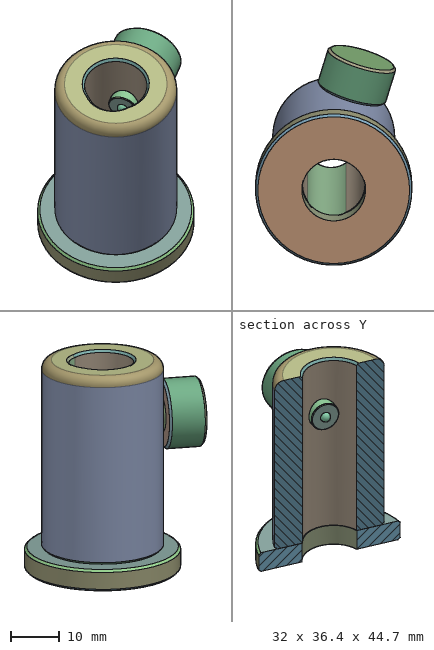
import cadquery as cq
import math

total_height = 44.7
base_height = 4.6
base_diameter = 32.0
base_bore_diameter = 13.0
edge_chamfer = 0.5

housing_diameter = 25.0
housing_radius = housing_diameter / 2
housing_height = total_height - base_height
housing_top_fillet = 2.0
bore_diameter = 12.75
relief_diameter = 10.3
relief_offset = 1.8

total_depth = 36.4
clamp_height = 32.2
knob_diameter = 14.5
knob_inner_y = housing_radius
knob_outer_y = total_depth - base_diameter / 2
collar_radius = 3.2
collar_length = 2.7
collar_inner_y = knob_inner_y - collar_length
collar_flare = 0.35
screw_radius = 3.1
screw_tip_y = 4.25
screw_tip_chamfer = 0.2
ball_diameter = 2.15


def make_base():
    disc = cq.Workplane("XY").circle(base_diameter / 2).extrude(base_height)
    disc = disc.edges().chamfer(edge_chamfer)
    return disc.faces(">Z").workplane().hole(base_bore_diameter)


def round_bore(diameter, center_y):
    """Bore through the housing with a chamfered, widening mouth at the top."""
    bore = cq.Workplane("XY").workplane(offset=base_height).center(0, center_y)
    bore = bore.circle(diameter / 2).extrude(housing_height)
    mouth = cq.Workplane("XY").workplane(offset=total_height).center(0, center_y)
    mouth = mouth.circle(diameter / 2 + edge_chamfer).extrude(-edge_chamfer, taper=45)
    return bore.union(mouth)


def make_housing(screw):
    """Barrel with a main bore, an off-axis relief bore and a seat that matches the screw."""
    barrel = cq.Workplane("XY").workplane(offset=base_height)
    barrel = barrel.circle(housing_radius).extrude(housing_height)
    barrel = barrel.edges(">Z").fillet(housing_top_fillet)
    barrel = barrel.edges("<Z").chamfer(edge_chamfer)
    barrel = barrel.cut(round_bore(bore_diameter, 0))
    barrel = barrel.cut(round_bore(relief_diameter, -relief_offset))
    return barrel.cut(screw)


def make_knob():
    knob = cq.Workplane("XZ", origin=(0, knob_outer_y, clamp_height))
    knob = knob.circle(knob_diameter / 2).extrude(knob_outer_y - knob_inner_y)
    return knob.edges().chamfer(edge_chamfer)


def make_ball():
    return cq.Workplane("XY", origin=(0, screw_tip_y, clamp_height)).sphere(ball_diameter / 2)


def make_screw(ball):
    """Stepped screw turned about the clamp axis, with a socket for the ball in its tip."""
    flare_start_y = knob_inner_y - collar_flare
    flare_radius = collar_radius + collar_flare
    flare_mid = (
        flare_radius - collar_flare * math.cos(math.pi / 4),
        flare_start_y + collar_flare * math.sin(math.pi / 4),
    )
    profile = (
        cq.Workplane("XY", origin=(0, 0, clamp_height))
        .moveTo(0, screw_tip_y)
        .lineTo(screw_radius - screw_tip_chamfer, screw_tip_y)
        .lineTo(screw_radius, screw_tip_y + screw_tip_chamfer)
        .lineTo(screw_radius, collar_inner_y)
        .lineTo(collar_radius, collar_inner_y)
        .lineTo(collar_radius, flare_start_y)
        .threePointArc(flare_mid, (flare_radius, knob_inner_y))
        .lineTo(0, knob_inner_y)
        .close()
    )
    return profile.revolve(360, (0, 0), (0, 1)).cut(ball)


base = make_base()
ball = make_ball()
screw = make_screw(ball)
housing = make_housing(screw)
knob = make_knob()

bodies = [base, housing, knob, screw, ball]
result = cq.Compound.makeCompound([body.solids().val() for body in bodies])